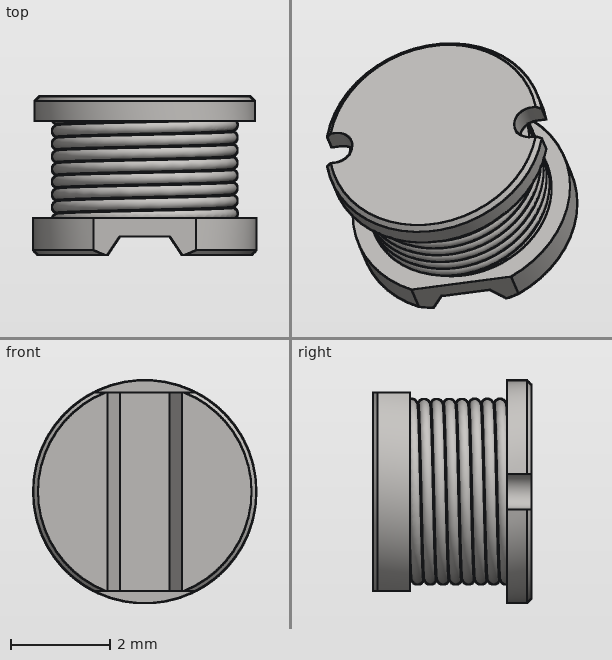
import cadquery as cq

flange_radius = 2.25
front_flange_thickness = 0.75
rear_flange_thickness = 0.5
edge_chamfer = 0.1
overall_length = 3.2
neck_length = overall_length - front_flange_thickness - rear_flange_thickness
neck_end = front_flange_thickness + neck_length

flat_to_flat = 4.0
slot_mouth_width = 1.5
slot_floor_width = 1.0
slot_depth = 0.375

notch_width = 0.71
notch_arc_center = 2.03

core_radius = 1.8
wire_radius = 0.125
winding_outer_radius = 1.875
winding_radius = winding_outer_radius - wire_radius
winding_pitch = 0.255
winding_turns = 9
first_crest_gap = 0.09
winding_start = front_flange_thickness + first_crest_gap - winding_pitch


def cylinder_along_y(radius, start, length):
    """Solid cylinder on the Y axis from Y = start to Y = start + length."""
    return cq.Workplane("XZ", origin=(0, start, 0)).circle(radius).extrude(-length)


def make_front_flange():
    """Chamfered disc with top and bottom flats and a sloped-sided slot along Z."""
    disc = cylinder_along_y(flange_radius, 0, front_flange_thickness).faces("<Y").chamfer(edge_chamfer)
    flats = cq.Workplane("XY").box(2 * flange_radius, 2 * front_flange_thickness, flat_to_flat)
    slot = (
        cq.Workplane("XY")
        .moveTo(-slot_mouth_width / 2, 0)
        .lineTo(-slot_floor_width / 2, slot_depth)
        .lineTo(slot_floor_width / 2, slot_depth)
        .lineTo(slot_mouth_width / 2, 0)
        .close()
        .extrude(flange_radius, both=True)
    )
    return disc.intersect(flats).cut(slot)


def make_rear_flange():
    """Chamfered disc with a round-bottomed notch on each X side."""
    disc = cylinder_along_y(flange_radius, neck_end, rear_flange_thickness).faces(">Y").chamfer(edge_chamfer)
    for side in (-1, 1):
        notch = (
            cq.Workplane("XZ", origin=(0, neck_end, 0))
            .moveTo(side * flange_radius, notch_width / 2)
            .lineTo(side * notch_arc_center, notch_width / 2)
            .threePointArc(
                (side * (notch_arc_center - notch_width / 2), 0),
                (side * notch_arc_center, -notch_width / 2),
            )
            .lineTo(side * flange_radius, -notch_width / 2)
            .close()
            .extrude(-rear_flange_thickness)
        )
        disc = disc.cut(notch)
    return disc


def make_winding():
    """Right-handed round-wire helix along Y, starting on +X and longer than the neck."""
    path = cq.Wire.makeHelix(winding_pitch, winding_pitch * winding_turns, winding_radius)
    wire = (
        cq.Workplane("XZ", origin=(winding_radius, 0, 0))
        .circle(wire_radius)
        .sweep(cq.Workplane(obj=path), isFrenet=True)
    )
    return wire.rotate((0, 0, 0), (1, 0, 0), -90).translate((0, winding_start, 0))


def make_neck():
    """Core with its winding, trimmed flush with the inner faces of both flanges."""
    core = cylinder_along_y(core_radius, front_flange_thickness, neck_length)
    envelope = cylinder_along_y(flange_radius, front_flange_thickness, neck_length)
    return core.union(make_winding()).intersect(envelope)


result = make_neck().union(make_front_flange()).union(make_rear_flange())